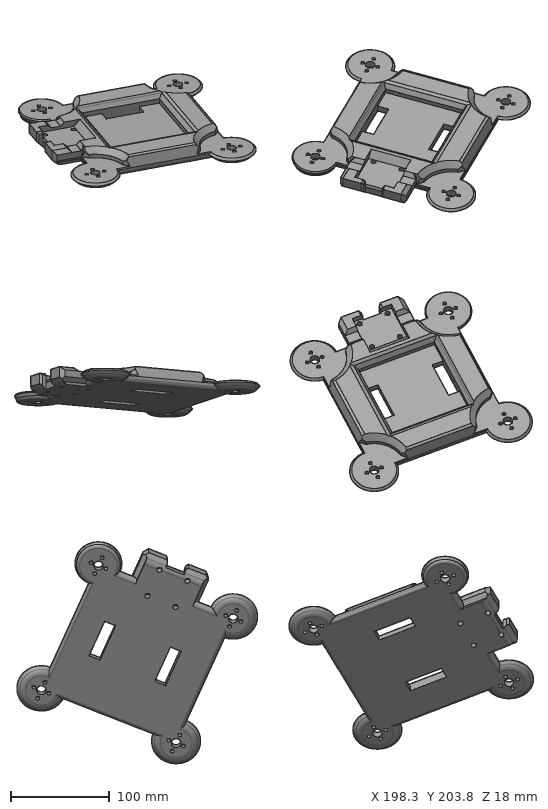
import cadquery as cq
import math

TOTAL_WIDTH = 198.3
TOTAL_LENGTH = 203.8
TOTAL_HEIGHT = 18.0

PLATE_TOP = 7.7
PLATE_RIM = 6.3

MOUNT_SPAN = 148.4
MOUNT_RADIUS = (TOTAL_WIDTH - MOUNT_SPAN) / 2
MOUNT_RIM_HEIGHT = 5.5
MOUNT_TOP_RADIUS = MOUNT_RADIUS - (PLATE_TOP - MOUNT_RIM_HEIGHT)
SMALL_MOUNT_RADIUS = 23.8
SMALL_MOUNT_RIM_HEIGHT = 6.3
SMALL_MOUNT_FOOT_RADIUS = 22.2
SMALL_MOUNT_FOOT_HEIGHT = 3.0
ROUND_HEIGHT = 2.5
SHAFT_DIAMETER = 9.5
SCREW_DIAMETER = 3.7
SCREW_SPACING_X = 16.3
SCREW_SPACING_Y = 19.0

PLATE_HALF = MOUNT_SPAN / 2
RIM_HALF = 75.0
PLATE_FILLET = 3.0
PLATE_FRONT_FILLET = 4.7
SHOULDER_HALF = 71.0
SHOULDER_HEIGHT = 17.0
RIDGE_WEST = -70.0
RIDGE_EAST = 67.9
RIDGE_SOUTH = -70.5
RIDGE_NORTH = 68.0

CLEARANCE_RADIUS = 32.5
CLEARANCE_FLARE_HEIGHT = 11.8
CLEARANCE_END = 5.3
CLEARANCE_END_REACH = 32.0
FACET_START = 2.9
FACET_RUN = 4.7

POCKET_CENTER_X = -2.2
POCKET_SIDE = 84.4
POCKET_FLOOR = 7.0
POCKET_SLOPE_START = 11.8
POCKET_KINK_HEIGHT = 16.3
KINK_WEST = -48.0
KINK_EAST = 43.5
KINK_HALF_Y = 46.0
MOUTH_WEST = -49.5
MOUTH_EAST = 47.5
MOUTH_HALF_Y = 49.3
STRAP_SLOT_WIDTH = 12.0
STRAP_SLOT_LENGTH = 40.8

BRACKET_HALF = 36.0
BRACKET_CENTER_X = -0.2
BRACKET_FRONT = PLATE_HALF + MOUNT_RADIUS - TOTAL_LENGTH
BRACKET_BACK = -53.0
BRACKET_SIDE_BEVEL = 4.5
BRACKET_BEVEL_DROP = 3.9
BRACKET_LOWER_HEIGHT = 7.1
GROOVE_FLOOR = TOTAL_HEIGHT - BRACKET_BEVEL_DROP
GROOVE_BACK = RIDGE_SOUTH
GROOVE_FRONT = -88.5
GROOVE_OVERRUN = 2.0
RECESS_WIDTH = 43.5
RECESS_FLOOR = 11.0
RECESS_BACK = -53.2
RECESS_FRONT = -98.5
CAMERA_HOLE_DIAMETER = 5.0
CAMERA_HOLE_SPACING = 31.0
CAMERA_HOLE_CENTER_Y = -78.5
NOTCH_HALF = 10.0
NOTCH_BEVEL = 2.0
NOTCH_EDGE_RUN = 1.5
NOTCH_EDGE_DROP = 2.5

CUT_MARGIN = 10.2


def rectangle(height, west, east, south, north):
    return cq.Wire.makePolygon(
        [
            cq.Vector(west, south, height),
            cq.Vector(east, south, height),
            cq.Vector(east, north, height),
            cq.Vector(west, north, height),
        ],
        close=True,
    )


def square(height, half):
    return rectangle(height, -half, half, -half, half)


def ruled_stack(sections):
    return cq.Workplane(cq.Solid.makeLoft(sections, True))


def block(west, east, south, north, bottom, top):
    solid = cq.Workplane().box(east - west, north - south, top - bottom, centered=False)
    return solid.translate((west, south, bottom))


def revolved(profile):
    return profile.close().revolve(360, (0, 0, 0), (0, 1, 0))


def bottom_round(edge, inward):
    radius = ROUND_HEIGHT / (1 - math.cos(math.pi / 4))
    end = edge + inward * radius * math.sin(math.pi / 4)
    middle = (
        end - inward * radius * math.sin(math.pi / 8),
        radius * (1 - math.cos(math.pi / 8)),
    )
    return middle, (end, 0)


def large_mount():
    round_start = MOUNT_RADIUS - (MOUNT_RIM_HEIGHT - ROUND_HEIGHT)
    arc_middle, arc_end = bottom_round(round_start, -1)
    return revolved(
        cq.Workplane("XZ")
        .lineTo(0, PLATE_TOP)
        .lineTo(MOUNT_TOP_RADIUS, PLATE_TOP)
        .lineTo(MOUNT_RADIUS, MOUNT_RIM_HEIGHT)
        .lineTo(round_start, ROUND_HEIGHT)
        .threePointArc(arc_middle, arc_end)
    )


def small_mount():
    return revolved(
        cq.Workplane("XZ")
        .lineTo(0, PLATE_TOP)
        .lineTo(MOUNT_TOP_RADIUS, PLATE_TOP)
        .lineTo(SMALL_MOUNT_RADIUS, SMALL_MOUNT_RIM_HEIGHT)
        .lineTo(SMALL_MOUNT_FOOT_RADIUS, SMALL_MOUNT_FOOT_HEIGHT)
        .radiusArc((SMALL_MOUNT_FOOT_RADIUS - SMALL_MOUNT_FOOT_HEIGHT, 0), SMALL_MOUNT_FOOT_HEIGHT)
    )


def plate():
    lower = block(-RIM_HALF, RIM_HALF, -RIM_HALF, RIM_HALF, 0, PLATE_RIM)
    lower = lower.edges("<Z and <Y").fillet(PLATE_FRONT_FILLET)
    lower = lower.faces("<Z").edges("not <Y").fillet(PLATE_FILLET)
    upper = ruled_stack([square(PLATE_RIM, RIM_HALF), square(PLATE_TOP, PLATE_HALF)])
    return lower.union(upper)


def frame():
    ridge = rectangle(TOTAL_HEIGHT, RIDGE_WEST, RIDGE_EAST, RIDGE_SOUTH, RIDGE_NORTH)
    shoulder = square(SHOULDER_HEIGHT, SHOULDER_HALF)
    return ruled_stack([square(PLATE_RIM, RIM_HALF), shoulder, ridge])


def mount_clearance(side_x, side_y):
    flare = TOTAL_HEIGHT - CLEARANCE_FLARE_HEIGHT
    round_cut = revolved(
        cq.Workplane("XZ")
        .moveTo(0, PLATE_TOP)
        .lineTo(CLEARANCE_RADIUS, PLATE_TOP)
        .lineTo(CLEARANCE_RADIUS, CLEARANCE_FLARE_HEIGHT)
        .lineTo(CLEARANCE_RADIUS + flare, TOTAL_HEIGHT)
        .lineTo(0, TOTAL_HEIGHT)
    )
    far = CLEARANCE_END_REACH + CLEARANCE_END + CUT_MARGIN
    ends = (
        cq.Workplane()
        .workplane(offset=PLATE_TOP)
        .polyline(
            [
                (-CUT_MARGIN, -CUT_MARGIN),
                (far, -CUT_MARGIN),
                (CLEARANCE_END_REACH, CLEARANCE_END),
                (CLEARANCE_END, CLEARANCE_END_REACH),
                (-CUT_MARGIN, far),
            ]
        )
        .close()
        .extrude(TOTAL_HEIGHT - PLATE_TOP)
    )
    cut = round_cut.union(ends)
    if side_x > 0:
        cut = cut.mirror("YZ")
    if side_y > 0:
        cut = cut.mirror("XZ")
    return cut.translate((side_x * PLATE_HALF, side_y * PLATE_HALF, 0))


def north_west_facet():
    start_x = FACET_START - PLATE_HALF
    reach = CLEARANCE_END_REACH + CLEARANCE_END - FACET_START
    start_y = PLATE_HALF - reach
    return (
        cq.Workplane()
        .workplane(offset=PLATE_TOP)
        .polyline(
            [
                (start_x, start_y),
                (start_x - 2 * FACET_START, start_y - 2 * FACET_RUN),
                (start_x - 2 * FACET_START, start_y),
            ]
        )
        .close()
        .extrude(TOTAL_HEIGHT - PLATE_TOP)
    )


def bracket():
    inner = BRACKET_HALF - BRACKET_SIDE_BEVEL
    lower_side = BRACKET_LOWER_HEIGHT - BRACKET_SIDE_BEVEL
    outline = [
        (inner, 0),
        (inner, lower_side),
        (BRACKET_HALF, BRACKET_LOWER_HEIGHT),
        (BRACKET_HALF, GROOVE_FLOOR),
        (inner, TOTAL_HEIGHT),
    ]
    mirrored = [(-x, z) for x, z in reversed(outline)]
    body = (
        cq.Workplane("XZ", origin=(0, BRACKET_BACK, 0))
        .polyline(outline + mirrored)
        .close()
        .extrude(BRACKET_BACK - BRACKET_FRONT)
    )
    corner_back = BRACKET_FRONT + BRACKET_BEVEL_DROP
    plan = (
        cq.Workplane()
        .polyline(
            [
                (-BRACKET_HALF, BRACKET_BACK),
                (-BRACKET_HALF, corner_back),
                (-inner, BRACKET_FRONT),
                (inner, BRACKET_FRONT),
                (BRACKET_HALF, corner_back),
                (BRACKET_HALF, BRACKET_BACK),
            ]
        )
        .close()
        .extrude(TOTAL_HEIGHT)
    )
    round_start = BRACKET_FRONT + BRACKET_LOWER_HEIGHT - ROUND_HEIGHT
    arc_middle, arc_end = bottom_round(round_start, 1)
    side_shape = (
        cq.Workplane("YZ", origin=(-BRACKET_HALF, 0, 0))
        .polyline(
            [
                (BRACKET_BACK, 0),
                (BRACKET_BACK, TOTAL_HEIGHT),
                (BRACKET_FRONT, TOTAL_HEIGHT),
                (BRACKET_FRONT, BRACKET_LOWER_HEIGHT),
                (round_start, ROUND_HEIGHT),
            ]
        )
        .threePointArc(arc_middle, arc_end)
        .close()
        .extrude(2 * BRACKET_HALF)
    )
    return body.intersect(plan).intersect(side_shape)


def groove():
    half = BRACKET_HALF + GROOVE_OVERRUN
    return (
        cq.Workplane("YZ", origin=(-half, 0, 0))
        .polyline(
            [
                (GROOVE_BACK, TOTAL_HEIGHT),
                (GROOVE_BACK - BRACKET_BEVEL_DROP, GROOVE_FLOOR),
                (GROOVE_FRONT + BRACKET_BEVEL_DROP, GROOVE_FLOOR),
                (GROOVE_FRONT, TOTAL_HEIGHT),
            ]
        )
        .close()
        .extrude(2 * half)
    )


def camera_recess():
    depth = TOTAL_HEIGHT - RECESS_FLOOR
    return (
        cq.Workplane("YZ", origin=(-RECESS_WIDTH / 2, 0, 0))
        .polyline(
            [
                (RECESS_BACK, TOTAL_HEIGHT),
                (RECESS_BACK - depth, RECESS_FLOOR),
                (RECESS_FRONT, RECESS_FLOOR),
                (RECESS_FRONT, TOTAL_HEIGHT),
            ]
        )
        .close()
        .extrude(RECESS_WIDTH)
    )


def lens_notch():
    wide = NOTCH_HALF + NOTCH_BEVEL
    length = RECESS_FRONT - BRACKET_FRONT
    opening = block(-NOTCH_HALF, NOTCH_HALF, BRACKET_FRONT, RECESS_FRONT, 0, TOTAL_HEIGHT)
    top_bevel = (
        cq.Workplane("XZ", origin=(0, RECESS_FRONT, 0))
        .polyline(
            [
                (-NOTCH_HALF, TOTAL_HEIGHT - NOTCH_BEVEL),
                (NOTCH_HALF, TOTAL_HEIGHT - NOTCH_BEVEL),
                (wide, TOTAL_HEIGHT),
                (-wide, TOTAL_HEIGHT),
            ]
        )
        .close()
        .extrude(length)
    )
    front_bevel = (
        cq.Workplane()
        .polyline(
            [
                (-NOTCH_HALF, BRACKET_FRONT + NOTCH_BEVEL),
                (NOTCH_HALF, BRACKET_FRONT + NOTCH_BEVEL),
                (wide, BRACKET_FRONT),
                (-wide, BRACKET_FRONT),
            ]
        )
        .close()
        .extrude(TOTAL_HEIGHT)
    )
    sill_bevel = (
        cq.Workplane("YZ", origin=(-NOTCH_HALF, 0, 0))
        .polyline(
            [
                (RECESS_FRONT + NOTCH_EDGE_RUN, RECESS_FLOOR),
                (RECESS_FRONT, RECESS_FLOOR),
                (RECESS_FRONT, RECESS_FLOOR - NOTCH_EDGE_DROP),
            ]
        )
        .close()
        .extrude(2 * NOTCH_HALF)
    )
    return opening.union(top_bevel).union(front_bevel).union(sill_bevel)


def battery_pocket():
    half = POCKET_SIDE / 2
    west = POCKET_CENTER_X - half
    east = POCKET_CENTER_X + half
    return ruled_stack(
        [
            rectangle(POCKET_FLOOR, west, east, -half, half),
            rectangle(POCKET_SLOPE_START, west, east, -half, half),
            rectangle(POCKET_KINK_HEIGHT, KINK_WEST, KINK_EAST, -KINK_HALF_Y, KINK_HALF_Y),
            rectangle(TOTAL_HEIGHT, MOUTH_WEST, MOUTH_EAST, -MOUTH_HALF_Y, MOUTH_HALF_Y),
        ]
    )


def strap_slots():
    offset = (POCKET_SIDE - STRAP_SLOT_WIDTH) / 2
    return (
        cq.Workplane()
        .pushPoints([(POCKET_CENTER_X - offset, 0), (POCKET_CENTER_X + offset, 0)])
        .rect(STRAP_SLOT_WIDTH, STRAP_SLOT_LENGTH)
        .extrude(POCKET_SLOPE_START)
    )


def mount_holes():
    shaft = cq.Workplane().circle(SHAFT_DIAMETER / 2).extrude(PLATE_TOP)
    reach_x = SCREW_SPACING_X / 2
    reach_y = SCREW_SPACING_Y / 2
    screws = (
        cq.Workplane()
        .pushPoints([(reach_x, 0), (-reach_x, 0), (0, reach_y), (0, -reach_y)])
        .circle(SCREW_DIAMETER / 2)
        .extrude(PLATE_TOP)
    )
    return shaft.union(screws)


def camera_holes():
    return (
        cq.Workplane()
        .center(0, CAMERA_HOLE_CENTER_Y)
        .rect(CAMERA_HOLE_SPACING, CAMERA_HOLE_SPACING, forConstruction=True)
        .vertices()
        .circle(CAMERA_HOLE_DIAMETER / 2)
        .extrude(TOTAL_HEIGHT)
    )


corners = [(side_x, side_y) for side_x in (-1, 1) for side_y in (-1, 1)]

result = plate().union(frame()).cut(north_west_facet())
for side_x, side_y in corners:
    result = result.cut(mount_clearance(side_x, side_y))

result = result.union(bracket().translate((BRACKET_CENTER_X, 0, 0)))

for side_x, side_y in corners:
    mount = small_mount() if side_x < 0 and side_y < 0 else large_mount()
    place = (side_x * PLATE_HALF, side_y * PLATE_HALF, 0)
    result = result.union(mount.translate(place)).cut(mount_holes().translate(place))

for cut_shape in (groove, camera_recess, lens_notch, camera_holes, battery_pocket, strap_slots):
    result = result.cut(cut_shape())